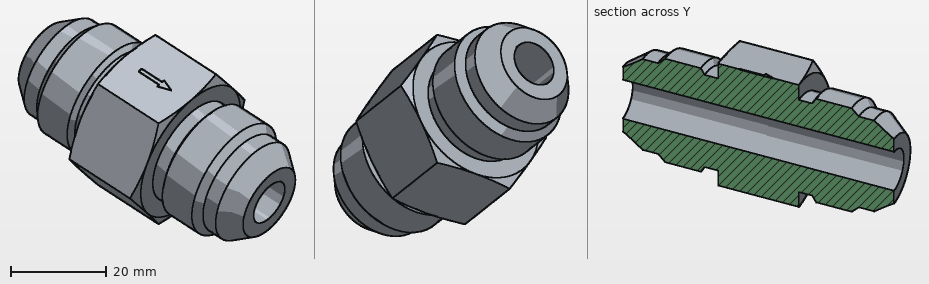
import cadquery as cq
import math

length = 62.35
bore_diameter = 10

hex_across_flats = 31.75
hex_across_corners = hex_across_flats / math.cos(math.radians(30))
hex_width = 18.6
hex_chamfer_depth = 0.9

seat_angle = 37
tip_diameter = 16.8
nose_diameter = 23.7
thread_diameter = 27.0
neck_diameter = 24.1
nose_length = 8.1
thread_end = 17.95
runout_length = 0.9

arrow_length = 8.65
arrow_center_y = -0.4
arrow_head_length = 3.0
arrow_head_width = 2.25
arrow_shaft_width = 1.0
arrow_depth = 0.1


def make_hexagon():
    """Hexagonal prism whose corners are turned off by a cone at both ends."""
    prism = (
        cq.Workplane("YZ")
        .polygon(6, hex_across_corners)
        .extrude(hex_width / 2, both=True)
    )
    half_width = hex_width / 2
    shoulder_x = half_width - hex_chamfer_depth
    flat_radius = hex_across_flats / 2
    corner_radius = hex_across_corners / 2
    turned_envelope = (
        cq.Workplane("XY")
        .polyline([
            (-half_width, 0),
            (-half_width, flat_radius),
            (-shoulder_x, corner_radius),
            (shoulder_x, corner_radius),
            (half_width, flat_radius),
            (half_width, 0),
        ])
        .close()
        .revolve(360, (0, 0, 0), (1, 0, 0))
    )
    return prism.intersect(turned_envelope)


def make_left_end():
    """Turned end from the -X face to the middle of the hexagon."""
    tip_radius = tip_diameter / 2
    nose_radius = nose_diameter / 2
    thread_radius = thread_diameter / 2
    neck_radius = neck_diameter / 2
    end_x = -length / 2
    cone_length = (nose_radius - tip_radius) / math.tan(math.radians(seat_angle))
    lead_in_length = thread_radius - nose_radius
    return (
        cq.Workplane("XY")
        .polyline([
            (end_x, 0),
            (end_x, tip_radius),
            (end_x + cone_length, nose_radius),
            (end_x + nose_length, nose_radius),
            (end_x + nose_length + lead_in_length, thread_radius),
            (end_x + thread_end, thread_radius),
            (end_x + thread_end + runout_length, neck_radius),
            (0, neck_radius),
            (0, 0),
        ])
        .close()
        .revolve(360, (0, 0, 0), (1, 0, 0))
    )


def make_arrow():
    """Cutter for the flow arrow, reaching down from the top flat."""
    tail_x = -arrow_length / 2
    tip_x = arrow_length / 2
    head_x = tip_x - arrow_head_length
    shaft_half = arrow_shaft_width / 2
    head_half = arrow_head_width / 2
    return (
        cq.Workplane("XY", origin=(0, arrow_center_y, hex_across_flats / 2))
        .polyline([
            (tail_x, -shaft_half),
            (head_x, -shaft_half),
            (head_x, -head_half),
            (tip_x, 0),
            (head_x, head_half),
            (head_x, shaft_half),
            (tail_x, shaft_half),
        ])
        .close()
        .extrude(-arrow_depth)
    )


left_end = make_left_end()
right_end = left_end.mirror("YZ")
bore = cq.Workplane("YZ").circle(bore_diameter / 2).extrude(length / 2, both=True)

result = make_hexagon().union(left_end).union(right_end).cut(bore).cut(make_arrow())